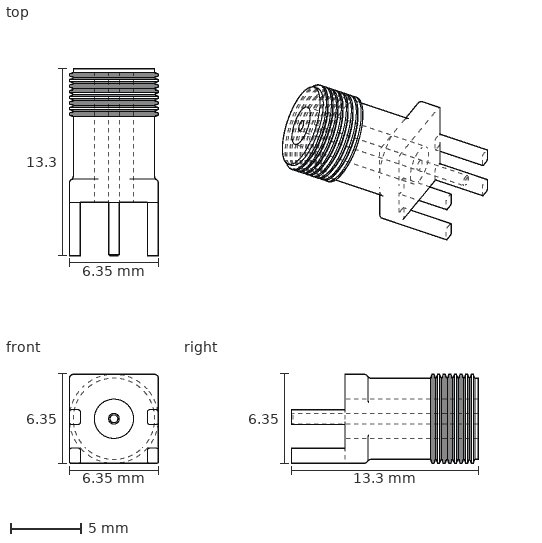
import cadquery as cq


flange_width = 6.35
flange_thickness = 1.65
flange_top_corner_radius = 0.3
bottom_corner_radius = 0.13
flange_rim_radius = 0.27

leg_length = 3.81
leg_width = 0.79
leg_edge_radius = 0.17
lower_leg_height = 1.085
upper_leg_bottom = -0.41
upper_leg_height = 1.055

overall_length = 13.33
barrel_length = overall_length - leg_length
barrel_diameter = 5.8
root_fillet_radius = 0.3
thread_diameter = 6.35
thread_count = 8
thread_pitch = 0.4
thread_root_width = 0.36
thread_crest_width = 0.14
thread_end_offset = 0.44

insulator_diameter = 2.8
pin_diameter = 0.76
pin_chamfer = 0.1

half_width = flange_width / 2
barrel_radius = barrel_diameter / 2


def cylinder_along_y(diameter, start, end):
    """Cylinder on the Y axis between two Y positions."""
    base = cq.Workplane("XZ", origin=(0, start, 0))
    return base.circle(diameter / 2).extrude(start - end)


def make_flange_with_barrel():
    """Square flange with a rounded rim, blended into the barrel."""
    flange = (
        cq.Workplane("XZ")
        .rect(flange_width, flange_width)
        .extrude(-flange_thickness)
    )
    flange = flange.edges("|Y and >Z").fillet(flange_top_corner_radius)
    flange = flange.edges("|Y and <Z").fillet(bottom_corner_radius)
    flange = flange.faces(">Y").edges().fillet(flange_rim_radius)
    body = flange.union(cylinder_along_y(barrel_diameter, 0, barrel_length))
    barrel_root = cq.selectors.BoxSelector(
        (-barrel_radius, flange_thickness - root_fillet_radius, -barrel_radius),
        (barrel_radius, flange_thickness + root_fillet_radius, barrel_radius),
    )
    return body.edges("%CIRCLE").edges(barrel_root).fillet(root_fillet_radius)


def make_thread_ridge(middle):
    """Ring with a trapezoid section around the barrel, centred at the given Y."""
    crest_radius = thread_diameter / 2
    inner_radius = (insulator_diameter / 2 + barrel_radius) / 2
    half_root = thread_root_width / 2
    half_crest = thread_crest_width / 2
    return (
        cq.Workplane("XY")
        .moveTo(inner_radius, middle - half_root)
        .lineTo(barrel_radius, middle - half_root)
        .lineTo(crest_radius, middle - half_crest)
        .lineTo(crest_radius, middle + half_crest)
        .lineTo(barrel_radius, middle + half_root)
        .lineTo(inner_radius, middle + half_root)
        .close()
        .revolve(360, (0, 0, 0), (0, 1, 0))
    )


def make_leg(side, bottom, height, lower_edge_radius):
    """Leg flush with one side of the flange (side is -1 or 1), rounded along its length."""
    middle_x = side * (half_width - leg_width / 2)
    leg = (
        cq.Workplane("XZ", origin=(middle_x, 0, bottom + height / 2))
        .rect(leg_width, height)
        .extrude(leg_length)
    )
    leg = leg.edges("|Y and >Z").fillet(leg_edge_radius)
    return leg.edges("|Y and <Z").fillet(lower_edge_radius)


def make_housing():
    housing = make_flange_with_barrel()
    for index in range(thread_count):
        middle = barrel_length - thread_end_offset - index * thread_pitch
        housing = housing.union(make_thread_ridge(middle))
    for side in (-1, 1):
        upper_leg = make_leg(side, upper_leg_bottom, upper_leg_height, leg_edge_radius)
        lower_leg = make_leg(side, -half_width, lower_leg_height, bottom_corner_radius)
        housing = housing.union(upper_leg).union(lower_leg)
    return housing.cut(cylinder_along_y(insulator_diameter, 0, barrel_length))


def make_insulator():
    """Insulating sleeve that fills the bore of the housing around the pin."""
    sleeve = cylinder_along_y(insulator_diameter, 0, barrel_length)
    return sleeve.cut(cylinder_along_y(pin_diameter, 0, barrel_length))


def make_pin():
    """Centre pin, level with the leg ends and chamfered at its tip."""
    pin = cylinder_along_y(pin_diameter, -leg_length, barrel_length)
    return pin.faces("<Y").chamfer(pin_chamfer)


housing = make_housing()
insulator = make_insulator()
pin = make_pin()

result = cq.Compound.makeCompound([housing.val(), insulator.val(), pin.val()])